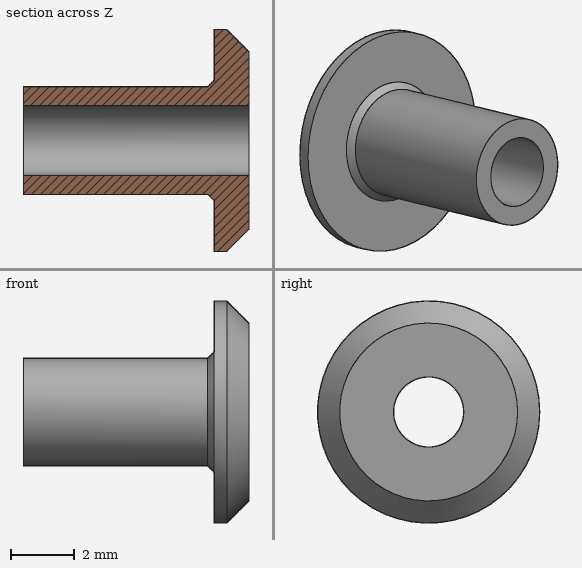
import cadquery as cq

overall_length = 7.1
flange_thickness = 1.1
flange_diameter = 7.0
flange_chamfer = 0.7
sleeve_diameter = 3.4
bore_diameter = 2.2
neck_flare = 0.2

flange_radius = flange_diameter / 2
sleeve_radius = sleeve_diameter / 2
bore_radius = bore_diameter / 2
flange_start = overall_length - flange_thickness


def turned_sleeve():
    """Revolve the half section, from the bore wall outward, about the X axis."""
    half_section = (
        cq.Workplane("XY")
        .moveTo(0, bore_radius)
        .lineTo(0, sleeve_radius)
        .lineTo(flange_start - neck_flare, sleeve_radius)
        .lineTo(flange_start, sleeve_radius + neck_flare)
        .lineTo(flange_start, flange_radius)
        .lineTo(overall_length - flange_chamfer, flange_radius)
        .lineTo(overall_length, flange_radius - flange_chamfer)
        .lineTo(overall_length, bore_radius)
        .close()
    )
    return half_section.revolve(360, (0, 0, 0), (1, 0, 0))


result = turned_sleeve()